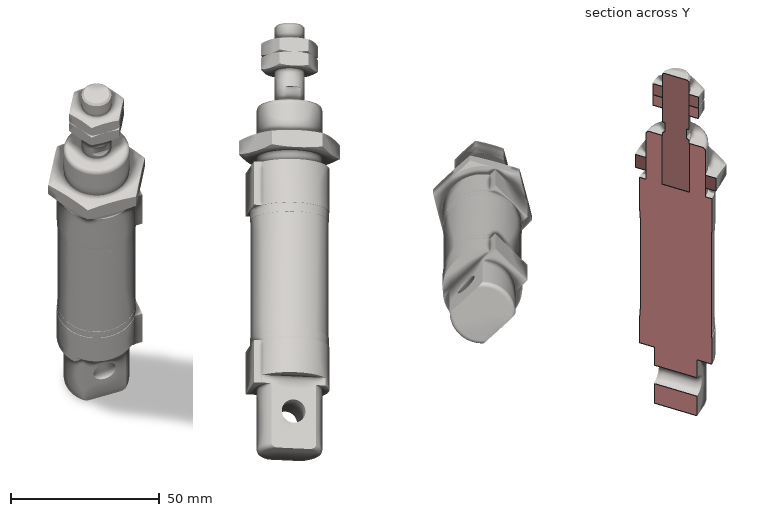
import cadquery as cq
import math

TOTAL_HEIGHT = 149.0

CAP_DIAMETER = 26.8
BARREL_DIAMETER = 26.4
JOINT_DIAMETER = 26.5
JOINT_LENGTH = 3.1
REAR_CAP_BOTTOM = 22.4
REAR_CAP_TOP = 37.1
FRONT_CAP_BOTTOM = 84.2
FRONT_CAP_TOP = 99.2

NECK_DIAMETER = 22.0
NECK_TOP = 121.0
END_FILLET = 1.5

PAD_WIDTH = 15.6
PAD_FACE_Y = 13.5

EYE_DIAMETER = NECK_DIAMETER
EYE_THICKNESS = 16.0
EYE_FLAT_TOP = 25.0
EYE_HOLE_DIAMETER = 8.0
EYE_HOLE_HEIGHT = 13.0

ROD_DIAMETER = 10.0
ROD_TIP_DIAMETER = 8.6
WRENCH_FLAT_WIDTH = 8.0
WRENCH_FLAT_BOTTOM = 123.0
WRENCH_FLAT_TOP = 126.8

HEXAGON_SIDES = 6
HALF_CORNER_ANGLE = 180.0 / HEXAGON_SIDES
CORNER_DIRECTION = 90.0
MOUNTING_NUT_FLATS = 30.0
MOUNTING_NUT_HEIGHT = 6.0
MOUNTING_NUT_BOTTOM = 103.0
MOUNTING_NUT_CHAMFER_ANGLE = 15.0
ROD_NUT_FLATS = 17.0
ROD_NUT_HEIGHT = 4.9
ROD_NUT_COUNT = 2
ROD_NUT_STACK_BOTTOM = 133.0
ROD_NUT_CHAMFER_ANGLE = 20.0


def cylinder(diameter, bottom, top):
    return cq.Workplane("XY").workplane(offset=bottom).circle(diameter / 2).extrude(top - bottom)


def port_pad(bottom, top):
    """Block from the axis to the flat port face on the +Y side."""
    return (
        cq.Workplane("XY")
        .workplane(offset=bottom)
        .center(0, PAD_FACE_Y / 2)
        .rect(PAD_WIDTH, PAD_FACE_Y)
        .extrude(top - bottom)
    )


def make_barrel():
    """Barrel with a slightly wider joint band next to each cap."""
    barrel = cylinder(BARREL_DIAMETER, REAR_CAP_TOP, FRONT_CAP_BOTTOM)
    rear_joint = cylinder(JOINT_DIAMETER, REAR_CAP_TOP, REAR_CAP_TOP + JOINT_LENGTH)
    front_joint = cylinder(JOINT_DIAMETER, FRONT_CAP_BOTTOM - JOINT_LENGTH, FRONT_CAP_BOTTOM)
    return barrel.union(rear_joint).union(front_joint)


def make_eye_flats_cutter():
    """Everything beyond the two eye flats, up to the top of the flats."""
    surroundings = cq.Workplane("XY").rect(2 * CAP_DIAMETER, 2 * CAP_DIAMETER).extrude(EYE_FLAT_TOP)
    tongue = cq.Workplane("XY").rect(EYE_THICKNESS, 2 * CAP_DIAMETER).extrude(EYE_FLAT_TOP)
    return surroundings.cut(tongue)


def make_housing():
    barrel = make_barrel()
    rear_cap = cylinder(CAP_DIAMETER, REAR_CAP_BOTTOM, REAR_CAP_TOP)
    front_cap = cylinder(CAP_DIAMETER, FRONT_CAP_BOTTOM, FRONT_CAP_TOP)
    neck = cylinder(NECK_DIAMETER, FRONT_CAP_TOP, NECK_TOP).faces(">Z").edges().fillet(END_FILLET)
    eye = cylinder(EYE_DIAMETER, 0, REAR_CAP_BOTTOM).faces("<Z").edges().fillet(END_FILLET)

    housing = barrel.union(rear_cap).union(front_cap).union(neck).union(eye)
    housing = housing.union(port_pad(REAR_CAP_BOTTOM, REAR_CAP_TOP))
    housing = housing.union(port_pad(FRONT_CAP_BOTTOM, FRONT_CAP_TOP))
    housing = housing.cut(make_eye_flats_cutter())

    eye_hole = (
        cq.Workplane("YZ")
        .center(0, EYE_HOLE_HEIGHT)
        .circle(EYE_HOLE_DIAMETER / 2)
        .extrude(EYE_THICKNESS, both=True)
    )
    rod_hole = cylinder(ROD_DIAMETER, FRONT_CAP_TOP, NECK_TOP)
    return housing.cut(eye_hole).cut(rod_hole)


def wrench_flat_cutter():
    """Notch on the +X side: square shoulder at the top, 45-degree run-out at the bottom."""
    flat_x = WRENCH_FLAT_WIDTH / 2
    depth = ROD_DIAMETER / 2
    return (
        cq.Workplane("XZ")
        .moveTo(flat_x, WRENCH_FLAT_BOTTOM)
        .lineTo(flat_x, WRENCH_FLAT_TOP)
        .lineTo(flat_x + depth, WRENCH_FLAT_TOP)
        .lineTo(flat_x + depth, WRENCH_FLAT_BOTTOM - depth)
        .close()
        .extrude(ROD_DIAMETER, both=True)
    )


def make_rod():
    rod = cylinder(ROD_DIAMETER, FRONT_CAP_TOP, TOTAL_HEIGHT)
    rod = rod.faces(">Z").edges().chamfer((ROD_DIAMETER - ROD_TIP_DIAMETER) / 2)
    flat = wrench_flat_cutter()
    return rod.cut(flat).cut(flat.mirror("YZ"))


def make_nut(across_flats, height, bore, bottom, chamfer_angle):
    """Hexagon nut whose corners are chamfered top and bottom by cones starting at the flats."""
    across_corners = across_flats / math.cos(math.radians(HALF_CORNER_ANGLE))
    flat_radius = across_flats / 2
    corner_radius = across_corners / 2
    drop = (corner_radius - flat_radius) * math.tan(math.radians(chamfer_angle))
    hexagon = (
        cq.Workplane("XY")
        .polygon(HEXAGON_SIDES, across_corners)
        .extrude(height)
        .rotate((0, 0, 0), (0, 0, 1), CORNER_DIRECTION)
    )
    chamfered_disc = (
        cq.Workplane("XZ")
        .moveTo(0, 0)
        .lineTo(flat_radius, 0)
        .lineTo(corner_radius, drop)
        .lineTo(corner_radius, height - drop)
        .lineTo(flat_radius, height)
        .lineTo(0, height)
        .close()
        .revolve(360, (0, 0, 0), (0, 1, 0))
    )
    nut = hexagon.intersect(chamfered_disc).cut(cylinder(bore, 0, height))
    return nut.translate((0, 0, bottom))


housing = make_housing()
rod = make_rod()
mounting_nut = make_nut(
    MOUNTING_NUT_FLATS,
    MOUNTING_NUT_HEIGHT,
    NECK_DIAMETER,
    MOUNTING_NUT_BOTTOM,
    MOUNTING_NUT_CHAMFER_ANGLE,
)
rod_nuts = [
    make_nut(
        ROD_NUT_FLATS,
        ROD_NUT_HEIGHT,
        ROD_DIAMETER,
        ROD_NUT_STACK_BOTTOM + index * ROD_NUT_HEIGHT,
        ROD_NUT_CHAMFER_ANGLE,
    )
    for index in range(ROD_NUT_COUNT)
]

result = cq.Compound.makeCompound(
    [housing.val(), rod.val(), mounting_nut.val(), *[nut.val() for nut in rod_nuts]]
)